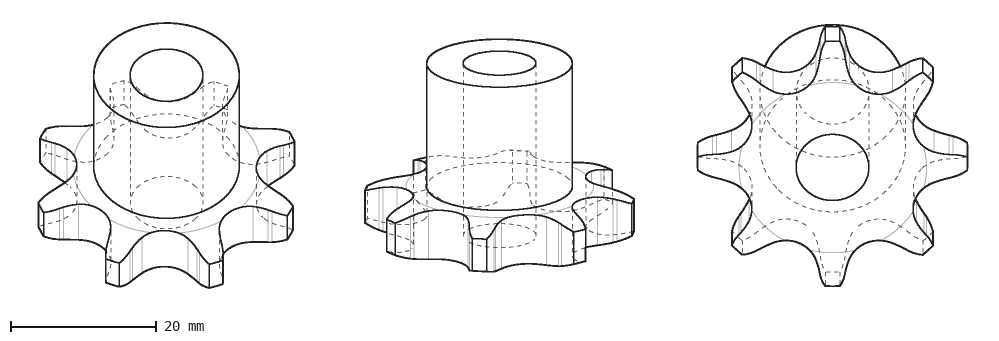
import cadquery as cq
import math

total_height = 25.0
hub_diameter = 20.0
bore_diameter = 10.0

tooth_count = 8
plate_thickness = 7.13
outer_radius = 18.52
tip_half_width = 1.0

chain_pitch = 12.72
seat_radius = 4.3
seat_half_angle = math.radians(47.5)
working_radius = 11.1
working_angle = math.radians(11)
flank_line_length = 0.55

cutter_overrun = 3.5

crown_start_radius = 12.85
crown_drop = 1.22

half_step = math.pi / tooth_count
pitch_radius = chain_pitch / (2 * math.sin(half_step))


def gap_profile():
    """Right half of the tooth gap centred on +Y, from the gap bottom to the tooth tip."""
    flank_angle = seat_half_angle + working_angle

    seat_bottom = (0, pitch_radius - seat_radius)
    seat_end = (
        seat_radius * math.sin(seat_half_angle),
        pitch_radius - seat_radius * math.cos(seat_half_angle),
    )
    working_end = (
        seat_end[0] + working_radius * (math.sin(flank_angle) - math.sin(seat_half_angle)),
        seat_end[1] + working_radius * (math.cos(seat_half_angle) - math.cos(flank_angle)),
    )
    line_end = (
        working_end[0] + flank_line_length * math.cos(flank_angle),
        working_end[1] + flank_line_length * math.sin(flank_angle),
    )

    tip_angle = half_step - math.asin(tip_half_width / outer_radius)
    tip = (outer_radius * math.sin(tip_angle), outer_radius * math.cos(tip_angle))
    return seat_bottom, seat_end, working_end, line_end, tip


def tooth_gap_cutter():
    """Solid that removes one tooth gap, built from both mirrored flanks."""
    seat_bottom, seat_end, working_end, line_end, tip = gap_profile()
    tip_slope = tip[1] / tip[0]
    clear_height = outer_radius + cutter_overrun
    half = (
        cq.Workplane("XY")
        .moveTo(*seat_bottom)
        .radiusArc(seat_end, -seat_radius)
        .radiusArc(working_end, -working_radius)
        .lineTo(*line_end)
        .tangentArcPoint(tip, relative=False)
        .lineTo(clear_height / tip_slope, clear_height)
        .lineTo(0, clear_height)
        .close()
        .extrude(plate_thickness)
    )
    return half.union(half.mirror("YZ"))


def crowned_disc():
    """Plate blank whose rim curves away tangentially from both flat faces."""
    crown_width = outer_radius - crown_start_radius
    crown_radius = (crown_width**2 + crown_drop**2) / (2 * crown_drop)
    return (
        cq.Workplane("XZ")
        .lineTo(crown_start_radius, 0)
        .radiusArc((outer_radius, crown_drop), -crown_radius)
        .lineTo(outer_radius, plate_thickness - crown_drop)
        .radiusArc((crown_start_radius, plate_thickness), -crown_radius)
        .lineTo(0, plate_thickness)
        .close()
        .revolve(360, (0, 0), (0, 1))
    )


plate = crowned_disc()
gap_cutter = tooth_gap_cutter()
for index in range(tooth_count):
    gap_angle = index * 360 / tooth_count
    plate = plate.cut(gap_cutter.rotate((0, 0, 0), (0, 0, 1), gap_angle))

hub = cq.Workplane("XY").circle(hub_diameter / 2).extrude(total_height)
bore = cq.Workplane("XY").circle(bore_diameter / 2).extrude(total_height)
result = plate.union(hub).cut(bore)